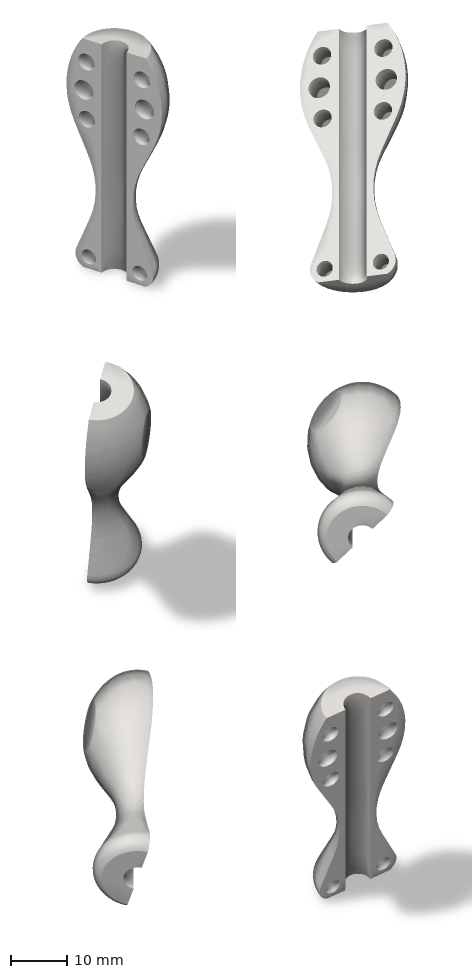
import cadquery as cq
import math

height = 48.65
depth = 9.0

bulge_reach, bulge_height, bulge_arc = 9.9, 38.05, 18.75
waist_reach, waist_height, waist_arc = 3.85, 17.1, 16.9
foot_reach, foot_height, foot_arc = 8.05, 2.6, 2.9

channel_radius = 2.6

hole_depth = 3.9
hole_inset = 0.35
hole_pairs = [
    (3.4, 5.75, 43.85),
    (4.0, 6.3, 37.7),
    (3.4, 5.65, 31.65),
    (3.0, 5.25, 2.5),
]


def point_on(center, radius, angle):
    return (center[0] + radius * math.cos(angle), center[1] + radius * math.sin(angle))


def crossing_tangent_angle(center, radius, waist_center):
    """Angle on a convex arc where its straight tangent to the waist arc begins."""
    dx = waist_center[0] - center[0]
    dz = waist_center[1] - center[1]
    spread = math.acos((radius + waist_arc) / math.hypot(dx, dz))
    toward_waist = math.atan2(dz, dx)
    return min(toward_waist - spread, toward_waist + spread, key=abs)


def make_body():
    bulge_center = (bulge_reach - bulge_arc, bulge_height)
    waist_center = (waist_reach + waist_arc, waist_height)
    foot_center = (foot_reach - foot_arc, foot_height)

    foot_start = -math.asin(foot_height / foot_arc)
    foot_end = crossing_tangent_angle(foot_center, foot_arc, waist_center)
    bulge_start = crossing_tangent_angle(bulge_center, bulge_arc, waist_center)
    bulge_end = math.asin((height - bulge_height) / bulge_arc)

    profile = (
        cq.Workplane("XZ")
        .moveTo(0, 0)
        .lineTo(*point_on(foot_center, foot_arc, foot_start))
        .threePointArc((foot_reach, foot_height), point_on(foot_center, foot_arc, foot_end))
        .lineTo(*point_on(waist_center, -waist_arc, foot_end))
        .threePointArc((waist_reach, waist_height), point_on(waist_center, -waist_arc, bulge_start))
        .lineTo(*point_on(bulge_center, bulge_arc, bulge_start))
        .threePointArc((bulge_reach, bulge_height), point_on(bulge_center, bulge_arc, bulge_end))
        .lineTo(0, height)
        .close()
    )
    turned = profile.revolve(360, (0, 0, 0), (0, 1, 0))

    envelope = cq.Workplane("XY").box(2 * bulge_reach, depth, height, centered=(True, False, False))
    return turned.intersect(envelope)


def make_channel():
    return cq.Workplane("XY").circle(channel_radius).extrude(height)


def make_hole(diameter, x, z):
    mouth_radius = diameter / 2
    cone = cq.Solid.makeCone(
        mouth_radius,
        mouth_radius - hole_inset,
        hole_depth,
        pnt=cq.Vector(x, 0, z),
        dir=cq.Vector(0, 1, 0),
    )
    return cq.Workplane(obj=cone)


result = make_body().cut(make_channel())
for diameter, offset, hole_height in hole_pairs:
    for side in (-1, 1):
        result = result.cut(make_hole(diameter, side * offset, hole_height))